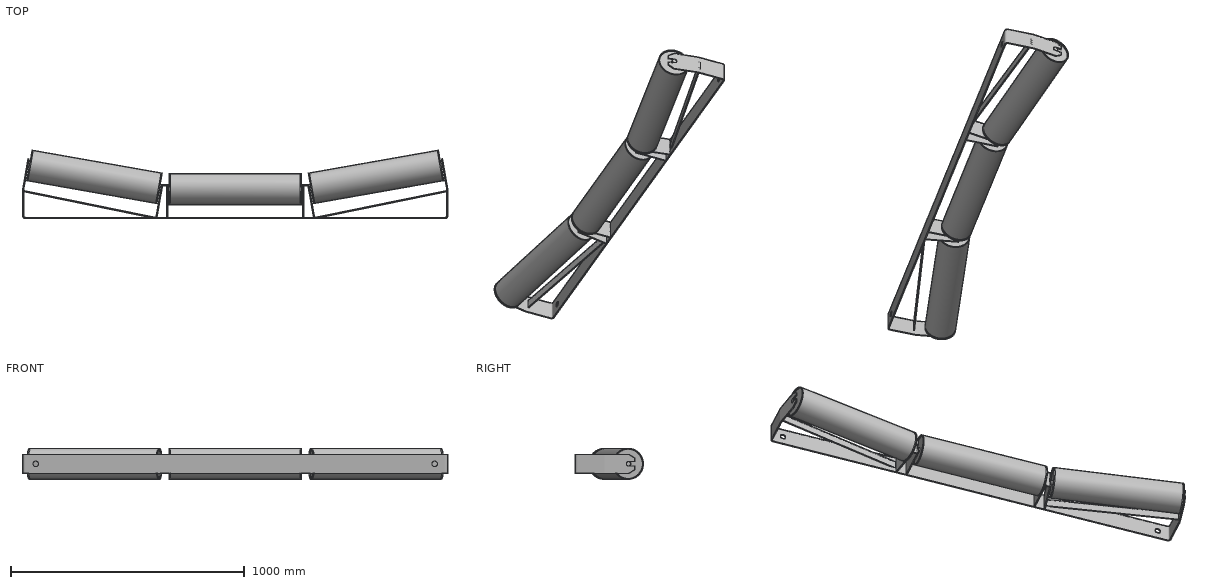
import cadquery as cq
import math


frame_length = 1820.0
overall_depth = 293.0
bar_width = 82.0
plate = 5.0
corner_radius = 13.0
bolt_hole_diameter = 24.0
bolt_hole_inset = 56.0

tilt = 10.0
roller_diameter = 133.0
roller_length = 566.0
rim_thickness = 4.0
cap_recess = 5.0
shaft_diameter = 20.0
end_gap = 5.0
middle_roller_y = 125.0
side_roller_x = 602.0

arm_tip_rise = 27.0
tip_corner_along = 25.0
tip_corner_across = 16.0

bracket_top_y = 145.0

brace_width = 36.0
brace_arm_y = 120.0
brace_foot_x = 342.0

half_length = frame_length / 2
half_width = bar_width / 2
half_roller = roller_length / 2
roller_radius = roller_diameter / 2
carrier_inside = half_roller + end_gap
carrier_outside = carrier_inside + plate

tilt_angle = math.radians(tilt)
side_roller_y = overall_depth - half_roller * math.sin(tilt_angle) - roller_radius * math.cos(tilt_angle)

z_axis = cq.Vector(0, 0, 1)
middle_place = cq.Location(cq.Vector(0, middle_roller_y, 0))
right_place = cq.Location(cq.Vector(side_roller_x, side_roller_y, 0), z_axis, tilt)
left_place = cq.Location(cq.Vector(-side_roller_x, side_roller_y, 0), z_axis, -tilt)


def placed(work, place):
    """Move a body from local roller axes to its place."""
    return cq.Workplane(work.val().moved(place))


def right_point(along, rise):
    """World (x, y) of a point given along and above the axis of the right roller."""
    x = side_roller_x + along * math.cos(tilt_angle) - rise * math.sin(tilt_angle)
    y = side_roller_y + along * math.sin(tilt_angle) + rise * math.cos(tilt_angle)
    return x, y


def flat_bar(points, width):
    """Bar with the given XY outline, centred on Z = 0."""
    return cq.Workplane("XY").workplane(offset=-width / 2).polyline(points).close().extrude(width)


def cross_section(x):
    """YZ sketch plane at the given x."""
    return cq.Workplane("YZ", origin=(x, 0, 0))


def axial_rod(diameter, half_span):
    """Rod about the X axis, centred on the origin."""
    return cross_section(-half_span).circle(diameter / 2).extrude(2 * half_span)


def shaft_slot(start):
    """Cutter for a slot with a round seat, one plate deep from local x = start and open towards +Y."""
    slot_height = arm_tip_rise + plate
    seat = cross_section(start).circle(shaft_diameter / 2).extrude(plate)
    channel = cross_section(start).center(slot_height / 2, 0).rect(slot_height, shaft_diameter).extrude(plate)
    return seat.union(channel)


def make_roller(place):
    """Drum with recessed end caps and a through shaft, as one body."""
    drum = axial_rod(roller_diameter, half_roller)
    recess_diameter = roller_diameter - 2 * rim_thickness
    for start in (-half_roller, half_roller - cap_recess):
        drum = drum.cut(cross_section(start).circle(recess_diameter / 2).extrude(cap_recess))
    shaft = axial_rod(shaft_diameter, carrier_outside)
    return placed(drum.union(shaft), place)


def frame_bar():
    """Bent bar without its cut-outs."""
    tip_x, tip_y = right_point(carrier_outside, arm_tip_rise)
    bend_y = tip_y - (half_length - tip_x) / math.tan(tilt_angle)
    inside_x = half_length - plate
    right_half = [
        (half_length, 0),
        (half_length, bend_y),
        (tip_x, tip_y),
        right_point(carrier_inside, arm_tip_rise),
        (inside_x, bend_y - plate * math.tan(tilt_angle / 2)),
        (inside_x, plate),
    ]
    left_half = [(-x, y) for x, y in reversed(right_half)]
    bar = flat_bar(right_half + left_half, bar_width)
    bar = bar.edges("|Z and <Y").fillet(corner_radius)
    for x in (-inside_x, inside_x):
        inside_corner = cq.selectors.NearestToPointSelector((x, plate, 0))
        bar = bar.edges("|Z").edges(inside_corner).fillet(corner_radius - plate)
    return bar


def right_arm_cutters():
    """Shaft slot and two corner wedges to take from the right arm tip."""
    wedge_outline = [
        (arm_tip_rise - tip_corner_along, half_width),
        (arm_tip_rise, half_width - tip_corner_across),
        (arm_tip_rise, half_width),
    ]
    wedge = cross_section(carrier_inside).polyline(wedge_outline).close().extrude(plate)
    cutters = [shaft_slot(carrier_inside), wedge, wedge.mirror("XY")]
    return [placed(cutter, right_place) for cutter in cutters]


def make_frame():
    bar = frame_bar()
    for cutter in right_arm_cutters():
        bar = bar.cut(cutter).cut(cutter.mirror("YZ"))
    hole_x = half_length - bolt_hole_inset
    holes = (
        cq.Workplane("XZ")
        .pushPoints([(-hole_x, 0), (hole_x, 0)])
        .circle(bolt_hole_diameter / 2)
        .extrude(-plate)
    )
    return bar.cut(holes)


def make_right_bracket():
    def leaning_x(along, y):
        """X at height y on the plane square to the right roller axis."""
        axis_x, axis_y = right_point(along, 0)
        return axis_x - (y - axis_y) * math.tan(tilt_angle)

    web_under_y = bracket_top_y - plate
    bracket = flat_bar(
        [
            (carrier_inside, plate),
            (carrier_inside, bracket_top_y),
            (leaning_x(-carrier_inside, bracket_top_y), bracket_top_y),
            (leaning_x(-carrier_inside, plate), plate),
            (leaning_x(-carrier_outside, plate), plate),
            (leaning_x(-carrier_outside, web_under_y), web_under_y),
            (carrier_outside, web_under_y),
            (carrier_outside, plate),
        ],
        bar_width,
    )
    middle_slot = placed(shaft_slot(carrier_inside), middle_place)
    side_slot = placed(shaft_slot(-carrier_outside), right_place)
    return bracket.cut(middle_slot).cut(side_slot)


def make_right_brace():
    arm_x = half_length - plate
    slope = (brace_arm_y - plate) / (arm_x - brace_foot_x)
    foot_length = plate / slope
    outline = [
        (brace_foot_x, plate),
        (brace_foot_x + foot_length, plate),
        (arm_x, brace_arm_y - plate),
        (arm_x, brace_arm_y),
    ]
    return flat_bar(outline, brace_width)


frame = make_frame()
right_bracket = make_right_bracket()
right_brace = make_right_brace()
brackets = [right_bracket, right_bracket.mirror("YZ")]
braces = [right_brace, right_brace.mirror("YZ")]
rollers = [make_roller(place) for place in (left_place, middle_place, right_place)]

bodies = [frame, *brackets, *braces, *rollers]
result = cq.Compound.makeCompound([body.solids().val() for body in bodies])